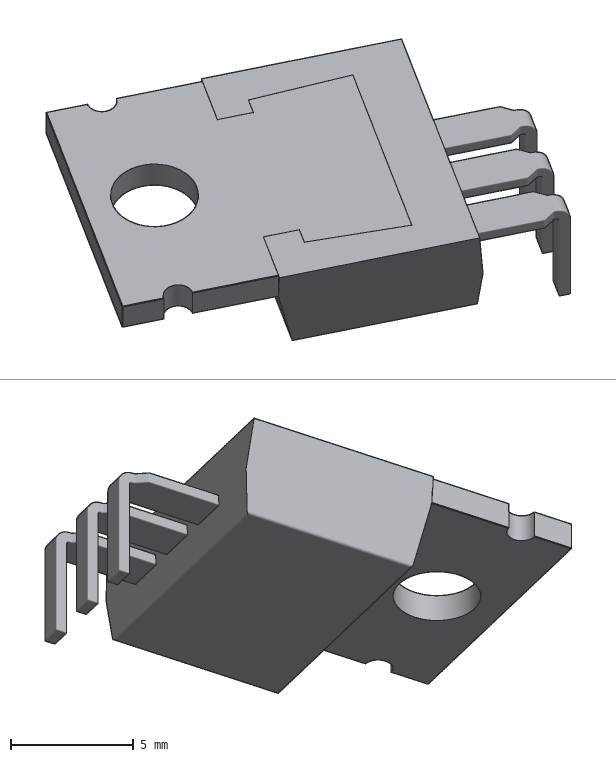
import cadquery as cq
import math


total_length = 19.84
total_height = 7.4

tab_width = 11.63
tab_thickness = 1.23
tab_edge_chamfer = 0.03
tab_hole_diameter = 3.6
tab_hole_y = 3.0
notch_radius = 0.62
notch_y = 2.38

neck_width = 7.0
anchor_start_y = 8.17
anchor_start_width = 8.5
anchor_end_y = 12.68
anchor_end_width = 8.97

housing_width = 11.88
housing_bottom_width = 10.87
housing_height = 4.4
housing_front_y = 6.65
housing_bottom_front_y = 7.35
housing_ridge_y = 15.38
housing_top_back_y = 15.15
housing_bottom_radius = 0.12

lead_pitch = 2.54
lead_count = 3
lead_thickness = 0.5
lead_top_z = -2.38
lead_width = 1.73
lead_foot_width = 1.0
lead_bend_radius = 0.62
lead_taper_length = 0.5
lead_neck_length = 0.71
lead_edge_radius = 0.05

housing_ridge_z = lead_top_z
back_slope = (housing_ridge_y - housing_top_back_y) / -housing_ridge_z
housing_bottom_back_y = housing_ridge_y - back_slope * (housing_height + housing_ridge_z)
lead_start_y = housing_top_back_y
side_draft_angle = math.degrees(math.atan((housing_width - housing_bottom_width) / 2 / housing_height))


def mirrored_plan(right_outline, thickness):
    """Plate below Z = 0 whose plan is the given right half and its mirror image."""
    left_outline = [(-x, y) for x, y in reversed(right_outline)]
    return cq.Workplane("XY").polyline(right_outline + left_outline).close().extrude(-thickness)


def make_tab():
    """Flat plate with a screw hole, two edge notches and a dovetail anchor inside the housing."""
    exposed_plate = (
        cq.Workplane("XY")
        .box(tab_width, housing_front_y, tab_thickness, centered=(True, False, False))
        .translate((0, 0, -tab_thickness))
        .edges("not(>Y)")
        .chamfer(tab_edge_chamfer)
    )
    anchor = mirrored_plan(
        [
            (neck_width / 2, housing_front_y),
            (neck_width / 2, anchor_start_y),
            (anchor_start_width / 2, anchor_start_y),
            (anchor_end_width / 2, anchor_end_y),
        ],
        tab_thickness,
    )
    hole = cq.Workplane("XY").center(0, tab_hole_y).circle(tab_hole_diameter / 2).extrude(-tab_thickness)
    notches = (
        cq.Workplane("XY")
        .pushPoints([(-tab_width / 2, notch_y), (tab_width / 2, notch_y)])
        .circle(notch_radius)
        .extrude(-tab_thickness)
    )
    return exposed_plate.union(anchor).cut(hole).cut(notches)


def make_housing(tab):
    """Moulded block with drafted sides, ridged back and sloping front, recessed for the tab."""
    side_profile = [
        (housing_front_y, 0),
        (housing_front_y, -tab_thickness),
        (housing_bottom_front_y, -housing_height),
        (housing_bottom_back_y, -housing_height),
        (housing_ridge_y, housing_ridge_z),
        (housing_top_back_y, 0),
    ]
    block = cq.Workplane("YZ").polyline(side_profile).close().extrude(housing_width / 2, both=True)
    drafted_sides = (
        cq.Workplane("XY")
        .center(0, total_length / 2)
        .rect(housing_width, 2 * total_length)
        .extrude(-housing_height, taper=side_draft_angle)
    )
    body = block.intersect(drafted_sides).faces("<Z").edges().fillet(housing_bottom_radius)
    return body.cut(tab)


def make_lead(x):
    """Flat lead leaving the back of the housing, narrowing, then bent down into a straight foot."""
    inner_radius = lead_bend_radius - lead_thickness
    inner_y = total_length - lead_thickness
    bend_y = total_length - lead_bend_radius
    bend_z = lead_top_z - lead_bend_radius
    diagonal = math.sqrt(0.5)
    bent_strip = (
        cq.Workplane("YZ")
        .moveTo(lead_start_y, lead_top_z)
        .lineTo(bend_y, lead_top_z)
        .threePointArc(
            (bend_y + lead_bend_radius * diagonal, bend_z + lead_bend_radius * diagonal),
            (total_length, bend_z),
        )
        .lineTo(total_length, -total_height)
        .lineTo(inner_y, -total_height)
        .lineTo(inner_y, bend_z)
        .threePointArc(
            (bend_y + inner_radius * diagonal, bend_z + inner_radius * diagonal),
            (bend_y, bend_z + inner_radius),
        )
        .lineTo(lead_start_y, lead_top_z - lead_thickness)
        .close()
        .extrude(lead_width / 2, both=True)
    )
    taper_end_y = total_length - lead_neck_length
    plan = mirrored_plan(
        [
            (lead_width / 2, lead_start_y),
            (lead_width / 2, taper_end_y - lead_taper_length),
            (lead_foot_width / 2, taper_end_y),
            (lead_foot_width / 2, total_length),
        ],
        total_height,
    )
    lead = bent_strip.intersect(plan).edges("not(<Y)").fillet(lead_edge_radius)
    return lead.translate((x, 0, 0))


tab = make_tab()
leads = [make_lead((i - (lead_count - 1) / 2) * lead_pitch) for i in range(lead_count)]
housing = make_housing(tab)
for lead in leads:
    housing = housing.cut(lead)

result = cq.Compound.makeCompound([housing.val(), tab.val(), *[lead.val() for lead in leads]])